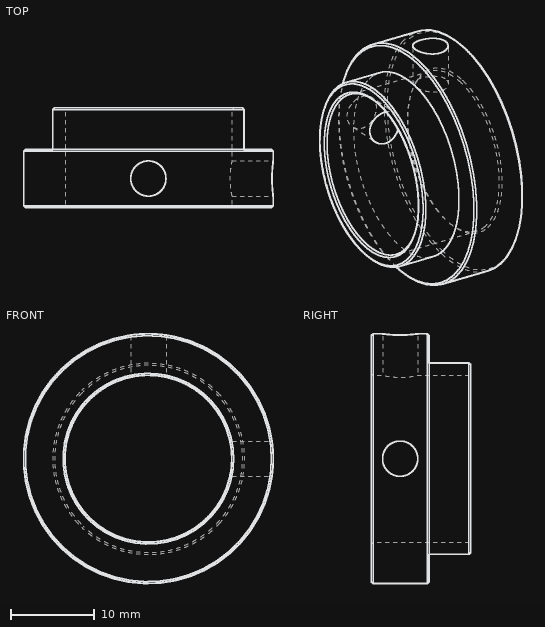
import cadquery as cq

flange_diameter = 30.0
hub_diameter = 23.0
bore_diameter = 20.0
total_length = 12.0
flange_length = 7.0
edge_chamfer = 0.25
screw_hole_diameter = 4.23
screw_hole_y = flange_length / 2


def disc(diameter, length):
    """Cylinder along +Y starting at the flange face."""
    return cq.Workplane("XZ").circle(diameter / 2).extrude(-length)


def radial_hole(plane):
    """Cylinder running outward from the ring axis along the plane's normal."""
    return (
        cq.Workplane(plane, origin=(0, screw_hole_y, 0))
        .circle(screw_hole_diameter / 2)
        .extrude(flange_diameter)
    )


flange = disc(flange_diameter, flange_length).edges().chamfer(edge_chamfer)
hub = disc(hub_diameter, total_length).faces(">Y").edges().chamfer(edge_chamfer)
collar = flange.union(hub).cut(disc(bore_diameter, total_length))
bore_rims = cq.selectors.RadiusNthSelector(0)
collar = collar.edges(bore_rims).chamfer(edge_chamfer)

for hole_plane in ("XY", "YZ"):
    collar = collar.cut(radial_hole(hole_plane))

result = collar